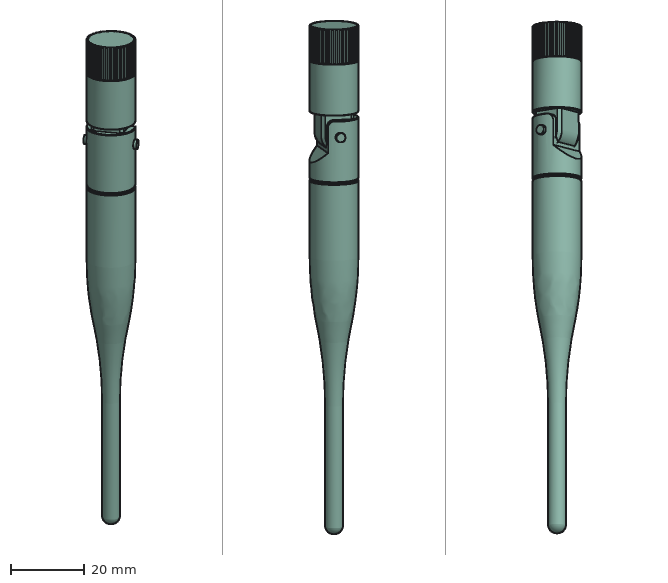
import cadquery as cq

total_height = 141.5
grip_diameter = 13.5
grip_radius = grip_diameter / 2
end_diameter = 13.0
end_chamfer = (grip_diameter - end_diameter) / 2

cap_height = 24.0
knurl_height = 9.6
groove_count = 38
groove_depth = 0.4
groove_width = 0.5
cap_bottom = total_height - cap_height
knurl_bottom = total_height - knurl_height

tongue_width = 9.2
tongue_corner = 0.92
pivot_height = 111.5

pin_diameter = 2.7
pin_end_diameter = 2.5
pin_length = 15.0
pin_chamfer_length = 0.35

fork_top = 116.0
fork_bottom = 98.9
fork_flat_y = 3.3
fork_flat_bottom = 107.1
fork_ramp_bottom = 103.7
fork_corner_radius = 1.8
spigot_diameter = 8.2

whip_top = 98.5
taper_top = 77.3
shoulder_height = 59.9
shoulder_radius = 5.1
waist_height = 53.9
waist_radius = 4.0
rod_top = 36.0
rod_diameter = 5.0
dome_height = 2.1


def chamfered_cylinder(bottom, top, chamfered_faces):
    """Grip-sized cylinder on the Z axis with the named end faces chamfered."""
    return (
        cq.Workplane("XY").workplane(offset=bottom)
        .circle(grip_radius).extrude(top - bottom)
        .faces(chamfered_faces).chamfer(end_chamfer)
    )


def tongue_blank():
    """Square bar below the cap, its lower end rounded about the pivot axis."""
    half_width = tongue_width / 2
    return (
        cq.Workplane("YZ")
        .moveTo(half_width, cap_bottom)
        .lineTo(half_width, pivot_height)
        .threePointArc((0, pivot_height - half_width), (-half_width, pivot_height))
        .lineTo(-half_width, cap_bottom)
        .close()
        .extrude(half_width, both=True)
        .edges("|Z").chamfer(tongue_corner)
    )


def pin_cylinder():
    """Cross pin along X with lightly chamfered ends."""
    return (
        cq.Workplane("YZ")
        .center(0, pivot_height)
        .circle(pin_diameter / 2)
        .extrude(pin_length / 2, both=True)
        .faces("<X or >X").chamfer(pin_chamfer_length, (pin_diameter - pin_end_diameter) / 2)
    )


def knurl_groove():
    """Straight slot along Z, sunk into the +X side of the knurl."""
    return (
        cq.Workplane("XY").workplane(offset=knurl_bottom)
        .center(grip_radius, 0)
        .rect(2 * groove_depth, groove_width)
        .extrude(knurl_height)
    )


def make_cap():
    """Smooth sleeve below a grooved knurl, with a fine notch where they join."""
    sleeve = chamfered_cylinder(cap_bottom, knurl_bottom, "<Z or >Z")
    knurl = chamfered_cylinder(knurl_bottom, total_height, ">Z")
    groove = knurl_groove()
    for i in range(groove_count):
        knurl = knurl.cut(groove.rotate((0, 0, 0), (0, 0, 1), (i + 0.5) * 360 / groove_count))
    return sleeve.union(knurl)


def make_tongue():
    """Tongue bored for the pivot pin."""
    return tongue_blank().cut(pin_cylinder())


def make_fork():
    """Cylinder cut back on +Y, slotted for the tongue, with a spigot reaching down to the whip."""
    barrel = chamfered_cylinder(fork_bottom, fork_top, "<Z or >Z")
    side_profile = (
        cq.Workplane("YZ")
        .moveTo(-grip_radius, fork_bottom)
        .lineTo(grip_radius, fork_bottom)
        .lineTo(grip_radius, fork_ramp_bottom)
        .lineTo(fork_flat_y, fork_flat_bottom)
        .lineTo(fork_flat_y, fork_top - fork_corner_radius)
        .radiusArc((fork_flat_y - fork_corner_radius, fork_top), -fork_corner_radius)
        .lineTo(-grip_radius, fork_top)
        .close()
        .extrude(grip_radius, both=True)
    )
    spigot = (
        cq.Workplane("XY").workplane(offset=whip_top)
        .circle(spigot_diameter / 2).extrude(fork_bottom - whip_top)
    )
    return barrel.intersect(side_profile).union(spigot).cut(tongue_blank()).cut(pin_cylinder())


def make_whip():
    """Revolved grip, S-shaped taper, slender rod and domed tip."""
    rod_radius = rod_diameter / 2
    dome_radius = (rod_radius**2 + dome_height**2) / (2 * dome_height)
    return (
        cq.Workplane("XZ")
        .moveTo(0, 0)
        .radiusArc((rod_radius, dome_height), -dome_radius)
        .lineTo(rod_radius, rod_top)
        .tangentArcPoint((waist_radius, waist_height), relative=False)
        .lineTo(shoulder_radius, shoulder_height)
        .tangentArcPoint((grip_radius, taper_top), relative=False)
        .lineTo(grip_radius, whip_top)
        .lineTo(0, whip_top)
        .close()
        .revolve(360, (0, 0, 0), (0, 1, 0))
        .faces(">Z").chamfer(end_chamfer)
    )


cap = make_cap()
tongue = make_tongue()
pin = pin_cylinder()
fork = make_fork()
whip = make_whip()

result = cq.Compound.makeCompound([cap.val(), tongue.val(), pin.val(), fork.val(), whip.val()])